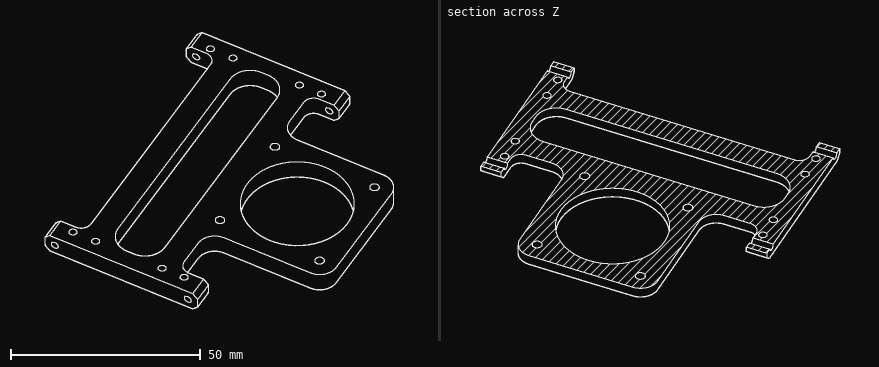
import cadquery as cq

thickness = 6.0
length = 83.0
arm_length = 46.0
arm_width = 6.0
arm_chamfer = 1.5
web_left = 9.0
web_right = 37.0
arm_fillet = 3.0

slot_left = 16.0
slot_width = 14.0
slot_length = 73.0
slot_corner_radius = 6.0

mount_right = 73.0
mount_width = 40.0
mount_corner_radius = 5.0
bore_x = 53.0
bore_diameter = 30.0
mount_hole_spacing = 30.0
mount_hole_diameter = 2.5

arm_hole_xs = (6.2, 13.0, 33.0, 39.7)
arm_hole_y = 37.4
arm_hole_diameter = 2.1
end_hole_inset = 3.0
end_hole_diameter = 2.1


def block(left, right, width):
    """Plate-thick block centred on Y = 0 and Z = 0."""
    return cq.Workplane("XY").box(right - left, width, thickness).translate(((left + right) / 2, 0, 0))


def make_arm(side):
    """Arm along X with chamfered tip edges and a hole along Y near each tip."""
    arm = cq.Workplane("XY").box(arm_length, arm_width, thickness)
    arm = arm.edges("|Y").chamfer(arm_chamfer)
    hole_offset = arm_length / 2 - end_hole_inset
    end_holes = (
        cq.Workplane("XZ")
        .workplane(offset=-arm_width / 2)
        .pushPoints([(-hole_offset, 0), (hole_offset, 0)])
        .circle(end_hole_diameter / 2)
        .extrude(arm_width)
    )
    arm = arm.cut(end_holes)
    return arm.translate((arm_length / 2, side * (length - arm_width) / 2, 0))


def edges_at(x, half_width):
    """Selector for the mirrored pair of vertical edges at (x, +/-half_width)."""
    margin = 0.1
    boxes = [
        cq.selectors.BoxSelector(
            (x - margin, y - margin, -thickness),
            (x + margin, y + margin, thickness),
        )
        for y in (-half_width, half_width)
    ]
    return boxes[0] + boxes[1]


def through_holes(points, diameter):
    """Vertical cutters passing through the plate."""
    bottom = cq.Workplane("XY").workplane(offset=-thickness / 2)
    return bottom.pushPoints(points).circle(diameter / 2).extrude(thickness)


body = block(web_left, web_right, length - arm_width)
body = body.union(block(web_right - arm_width, mount_right, mount_width))
for side in (-1, 1):
    body = body.union(make_arm(side))

arm_inner_y = length / 2 - arm_width
body = body.edges(edges_at(web_left, arm_inner_y)).fillet(arm_fillet)
body = body.edges(edges_at(web_right, arm_inner_y)).fillet(arm_fillet)
body = body.edges(edges_at(web_right, mount_width / 2)).fillet(mount_corner_radius)
body = body.edges(edges_at(mount_right, mount_width / 2)).fillet(mount_corner_radius)

slot = block(slot_left, slot_left + slot_width, slot_length).edges("|Z").fillet(slot_corner_radius)
body = body.cut(slot)

half_spacing = mount_hole_spacing / 2
mount_points = [
    (bore_x + dx, dy)
    for dx in (-half_spacing, half_spacing)
    for dy in (-half_spacing, half_spacing)
]
body = body.cut(through_holes([(bore_x, 0)], bore_diameter))
body = body.cut(through_holes(mount_points, mount_hole_diameter))

arm_points = [(x, side * arm_hole_y) for x in arm_hole_xs for side in (-1, 1)]
result = body.cut(through_holes(arm_points, arm_hole_diameter))